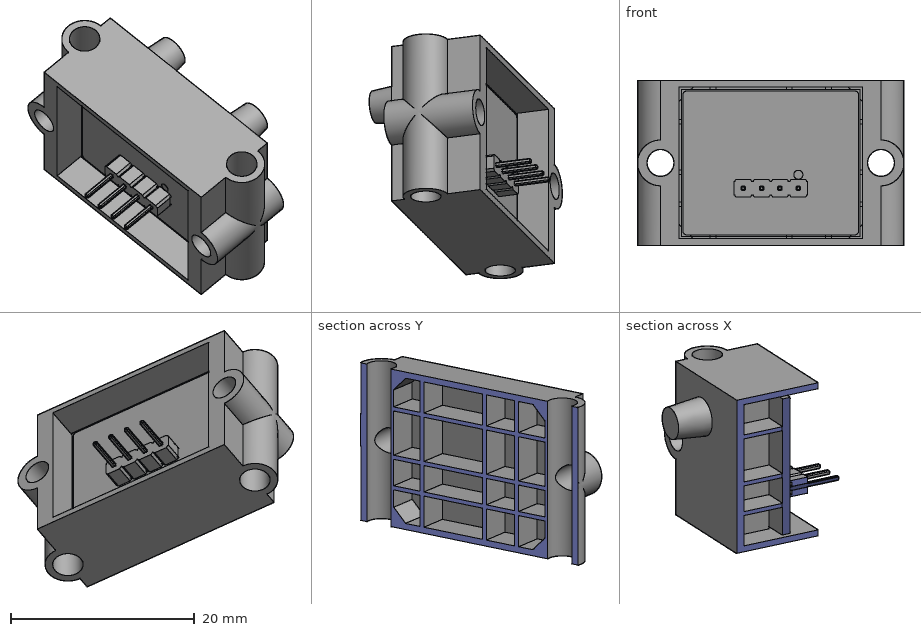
import cadquery as cq


OVERALL_WIDTH = 29.0
HEIGHT = 18.0
DEPTH = 10.27
BOSS_SPACING = 24.0
BOSS_RADIUS = (OVERALL_WIDTH - BOSS_SPACING) / 2
CROSS_BOSS_FROM_BACK = 3.97
CROSS_BOSS_Y = DEPTH - CROSS_BOSS_FROM_BACK
FRONT_HOLE_DIAMETER = 2.9
CROSS_HOLE_DIAMETER = 3.3
CAVITY_WIDTH = 20.0
CAVITY_HEIGHT = 16.5
BACK_WALL = 1.0

NOZZLE_X = 6.3
NOZZLE_Z = 4.5
NOZZLE_LENGTH = 4.0
NOZZLE_BASE_DIAMETER = 4.38
NOZZLE_TIP_DIAMETER = 3.6

UPRIGHT_RIB_THICKNESS = 0.6
LEVEL_RIB_THICKNESS = 0.52
MIDDLE_RIB_X = 2.0
MIDDLE_RIB_Z = -1.02
UPRIGHT_RIB_XS = (-NOZZLE_X, MIDDLE_RIB_X, NOZZLE_X)
LEVEL_RIB_ZS = (-NOZZLE_Z, MIDDLE_RIB_Z, NOZZLE_Z)
GUSSET_LEG = 1.57

BOARD_WIDTH = 19.5
BOARD_HEIGHT = 16.0
BOARD_THICKNESS = 1.0
SHEET_MARGIN = 0.17
SHEET_CORNER_RADIUS = 0.4
SHEET_THICKNESS = 0.03
SHEET_FRONT_Y = 3.48
BOARD_FRONT_Y = SHEET_FRONT_Y + SHEET_THICKNESS
BOARD_BACK_Y = BOARD_FRONT_Y + BOARD_THICKNESS
DOT_DIAMETER = 1.0

PIN_COUNT = 4
PIN_PITCH = 2.0
PIN_WIDTH = 0.5
PIN_CHAMFER = 0.12
PIN_REACH = 2.67
HEADER_Z = -2.75
HEADER_HEIGHT = 1.95
HEADER_DEPTH = 2.18
HEADER_CHAMFER = 0.25
HEADER_RELIEF_DEPTH = 0.17
HEADER_RELIEF_HEIGHT = HEADER_HEIGHT - 2 * HEADER_CHAMFER
PIN_XS = [(i - (PIN_COUNT - 1) / 2) * PIN_PITCH for i in range(PIN_COUNT)]
DOT_Z = HEADER_Z + (HEADER_HEIGHT + DOT_DIAMETER) / 2


def block(width, height, y_front, y_back, x=0.0, z=0.0):
    """Box centred at (x, z), reaching from y_front to y_back."""
    depth = y_back - y_front
    return cq.Workplane("XY").box(width, depth, height).translate((x, y_front + depth / 2, z))


def rod_y(diameter, y_front, y_back, x, z=0.0):
    """Cylinder along Y."""
    plane = cq.Workplane("XZ", origin=(x, y_front, z))
    return plane.circle(diameter / 2).extrude(y_front - y_back)


def rod_z(diameter, x, y):
    """Cylinder along Z over the full housing height."""
    plane = cq.Workplane("XY", origin=(x, y, -HEIGHT / 2))
    return plane.circle(diameter / 2).extrude(HEIGHT)


def make_nozzle(x):
    """Tapered nozzle standing on the back face."""
    base = cq.Workplane("XZ", origin=(x, DEPTH, NOZZLE_Z)).circle(NOZZLE_BASE_DIAMETER / 2)
    return base.workplane(offset=-NOZZLE_LENGTH).circle(NOZZLE_TIP_DIAMETER / 2).loft()


def make_gusset(side_x, side_z):
    """Triangular post that fills one corner of the cavity behind the board."""
    corner_x = side_x * CAVITY_WIDTH / 2
    corner_z = side_z * CAVITY_HEIGHT / 2
    outline = [
        (corner_x, corner_z),
        (corner_x - side_x * GUSSET_LEG, corner_z),
        (corner_x, corner_z - side_z * GUSSET_LEG),
    ]
    plane = cq.Workplane("XZ", origin=(0, BOARD_BACK_Y, 0))
    return plane.polyline(outline).close().extrude(BOARD_BACK_Y - DEPTH + BACK_WALL)


def make_housing():
    floor_y = DEPTH - BACK_WALL
    body = block(BOSS_SPACING, HEIGHT, 0, DEPTH)
    boss_xs = (-BOSS_SPACING / 2, BOSS_SPACING / 2)
    for x in boss_xs:
        body = body.union(rod_y(2 * BOSS_RADIUS, 0, DEPTH, x))
        body = body.union(rod_z(2 * BOSS_RADIUS, x, CROSS_BOSS_Y))
    for x in boss_xs:
        body = body.cut(rod_y(FRONT_HOLE_DIAMETER, 0, DEPTH, x))
        body = body.cut(rod_z(CROSS_HOLE_DIAMETER, x, CROSS_BOSS_Y))
    body = body.cut(block(CAVITY_WIDTH, CAVITY_HEIGHT, 0, floor_y))
    for x in UPRIGHT_RIB_XS:
        body = body.union(block(UPRIGHT_RIB_THICKNESS, CAVITY_HEIGHT, BOARD_BACK_Y, floor_y, x=x))
    for z in LEVEL_RIB_ZS:
        body = body.union(block(CAVITY_WIDTH, LEVEL_RIB_THICKNESS, BOARD_BACK_Y, floor_y, z=z))
    for side_x in (-1, 1):
        for side_z in (-1, 1):
            body = body.union(make_gusset(side_x, side_z))
    for x in (-NOZZLE_X, NOZZLE_X):
        body = body.union(make_nozzle(x))
    return body


def make_board():
    return block(BOARD_WIDTH, BOARD_HEIGHT, BOARD_FRONT_Y, BOARD_BACK_Y)


def make_sheet():
    """Round-cornered sheet with an open dot beside the end pin."""
    width = BOARD_WIDTH - 2 * SHEET_MARGIN
    height = BOARD_HEIGHT - 2 * SHEET_MARGIN
    sheet = block(width, height, SHEET_FRONT_Y, BOARD_FRONT_Y).edges("|Y").fillet(SHEET_CORNER_RADIUS)
    return sheet.cut(rod_y(DOT_DIAMETER, SHEET_FRONT_Y, BOARD_FRONT_Y, PIN_XS[-1], DOT_Z))


def make_pin(x):
    """Square pin with chamfered long edges and a chamfered tip."""
    pin = block(PIN_WIDTH, PIN_WIDTH, -PIN_REACH, SHEET_FRONT_Y, x=x, z=HEADER_Z)
    return pin.edges("|Y").chamfer(PIN_CHAMFER).faces("<Y").chamfer(PIN_CHAMFER)


def make_header(pins):
    """Row of chamfered cells, one around each pin, with a shallow lengthwise groove in the back."""
    front_y = SHEET_FRONT_Y - HEADER_DEPTH
    header = cq.Workplane("XY")
    for x in PIN_XS:
        cell = block(PIN_PITCH, HEADER_HEIGHT, front_y, SHEET_FRONT_Y, x=x, z=HEADER_Z)
        header = header.union(cell.edges("|Y").chamfer(HEADER_CHAMFER))
    row_length = PIN_COUNT * PIN_PITCH
    relief_front_y = SHEET_FRONT_Y - HEADER_RELIEF_DEPTH
    header = header.cut(
        block(row_length, HEADER_RELIEF_HEIGHT, relief_front_y, SHEET_FRONT_Y, z=HEADER_Z)
    )
    for pin in pins:
        header = header.cut(pin)
    return header


housing = make_housing()
board = make_board()
sheet = make_sheet()
pins = [make_pin(x) for x in PIN_XS]
header = make_header(pins)

result = cq.Compound.makeCompound(
    [housing.val(), board.val(), sheet.val(), header.val(), *[pin.val() for pin in pins]]
)